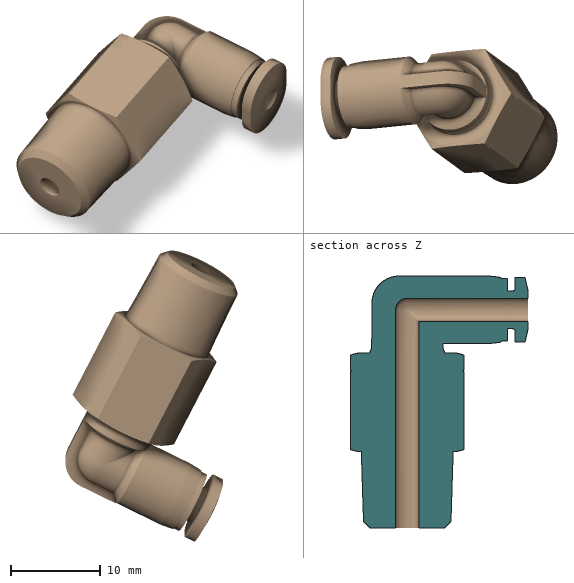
import cadquery as cq
import math


hex_flats = 11.0
hex_corner_radius = hex_flats / 2 / math.cos(math.radians(30))
hex_top = -4.8
hex_length = 11.08
hex_bottom = hex_top - hex_length
hex_chamfer_angle = 15.0
cut_clearance = 0.28

notch_y = -6.8
notch_radius = 6.15
notch_width = 0.15

thread_length = 8.52
thread_end = hex_bottom - thread_length
thread_base_radius = 5.15
thread_chamfer = 0.7
thread_taper = 1 / 32
thread_tip_radius = thread_base_radius - thread_taper * (thread_length - thread_chamfer)

collar_radius = 4.03
collar_base_radius = 4.23
collar_flare_top = -4.3
collar_top = -3.27
collar_cone_top = -2.7

elbow_radius = 2.95
bore_radius = 1.27
rib_thickness = 1.47
rib_left = -3.98
rib_corner_radius = 3.07

port_radius = 3.8
port_cone_start = 2.7
port_start = port_cone_start + (port_radius - elbow_radius)
port_taper_start = 9.0
port_taper_mid = 9.75
port_taper_end = 10.52
port_taper_mid_radius = 3.75
port_taper_end_radius = 3.65
port_lip_radius = 3.52
port_lip_end = 11.22

sleeve_radius = 2.12
sleeve_flare_radius = 2.23
sleeve_flare_start = 11.75
flange_start = 12.0
flange_edge = 13.2
flange_end = 13.5
flange_width = 7.25
flange_height = 9.25
flange_face_radius = 2.25


def y_turned(profile):
    """Turn a closed (radius, y) profile about the Y axis."""
    return cq.Workplane("XY").polyline(profile).close().revolve(360, (0, 0, 0), (0, 1, 0))


def hexagon():
    corner_circle = 2 * hex_corner_radius
    prism = cq.Workplane("XZ", origin=(0, hex_top, 0)).polygon(6, corner_circle).extrude(hex_length)
    inner = hex_flats / 2
    outer = hex_corner_radius + cut_clearance
    drop = (outer - inner) * math.tan(math.radians(hex_chamfer_angle))
    envelope = y_turned([
        (0, hex_top),
        (inner, hex_top),
        (outer, hex_top - drop),
        (outer, hex_bottom + drop),
        (inner, hex_bottom),
        (0, hex_bottom),
    ])
    notch = y_turned([
        (notch_radius, notch_y),
        (outer, notch_y),
        (outer, notch_y - notch_width),
    ])
    return prism.intersect(envelope).cut(notch)


def thread():
    return y_turned([
        (0, hex_bottom),
        (thread_base_radius, hex_bottom),
        (thread_tip_radius, thread_end + thread_chamfer),
        (thread_tip_radius - thread_chamfer, thread_end),
        (0, thread_end),
    ])


def collar_and_riser():
    return y_turned([
        (0, hex_top),
        (collar_base_radius, hex_top),
        (collar_radius, collar_flare_top),
        (collar_radius, collar_top),
        (elbow_radius, collar_cone_top),
        (elbow_radius, 0),
        (0, 0),
    ])


def port():
    return (
        cq.Workplane("XY")
        .lineTo(0, elbow_radius)
        .lineTo(port_cone_start, elbow_radius)
        .lineTo(port_start, port_radius)
        .lineTo(port_taper_start, port_radius)
        .threePointArc((port_taper_mid, port_taper_mid_radius), (port_taper_end, port_taper_end_radius))
        .lineTo(port_taper_end, port_lip_radius)
        .lineTo(port_lip_end, port_lip_radius)
        .lineTo(port_lip_end, sleeve_radius)
        .lineTo(sleeve_flare_start, sleeve_radius)
        .lineTo(flange_start, sleeve_flare_radius)
        .lineTo(flange_start, 0)
        .close()
        .revolve(360, (0, 0, 0), (1, 0, 0))
    )


def rib():
    return (
        cq.Workplane("XY", origin=(0, 0, -rib_thickness / 2))
        .moveTo(rib_left, collar_top)
        .lineTo(rib_left, port_radius - rib_corner_radius)
        .radiusArc((rib_left + rib_corner_radius, port_radius), rib_corner_radius)
        .lineTo(port_start, port_radius)
        .lineTo(port_start, 0)
        .lineTo(0, 0)
        .lineTo(0, collar_top)
        .close()
        .extrude(rib_thickness)
    )


def flange():
    plate = (
        cq.Workplane("YZ", origin=(flange_start, 0, 0))
        .slot2D(flange_height, flange_width, 90)
        .extrude(flange_edge - flange_start)
    )
    half_width = flange_width / 2
    half_height = flange_height / 2
    half_flat = half_height - half_width
    face_flat = flange_face_radius * half_flat / half_height
    face_side = math.sqrt(flange_face_radius ** 2 - face_flat ** 2)
    slope = (
        cq.Workplane("YZ", origin=(flange_edge, 0, 0))
        .moveTo(half_width, -half_flat)
        .lineTo(half_width, half_flat)
        .threePointArc((0, half_height), (-half_width, half_flat))
        .lineTo(-half_width, -half_flat)
        .threePointArc((0, -half_height), (half_width, -half_flat))
        .close()
        .workplane(offset=flange_end - flange_edge)
        .moveTo(face_side, -face_flat)
        .threePointArc((flange_face_radius, 0), (face_side, face_flat))
        .threePointArc((0, flange_face_radius), (-face_side, face_flat))
        .threePointArc((-flange_face_radius, 0), (-face_side, -face_flat))
        .threePointArc((0, -flange_face_radius), (face_side, -face_flat))
        .close()
        .loft(ruled=True)
    )
    return plate.union(slope)


def bore():
    down = cq.Workplane("XZ").circle(bore_radius).extrude(-thread_end)
    across = cq.Workplane("YZ").circle(bore_radius).extrude(flange_end)
    return down.union(across).union(cq.Workplane("XY").sphere(bore_radius))


body = thread().union(hexagon()).union(collar_and_riser()).union(port())
bend = cq.Workplane("XY").sphere(elbow_radius)
result = body.union(bend).union(rib()).union(flange()).cut(bore())